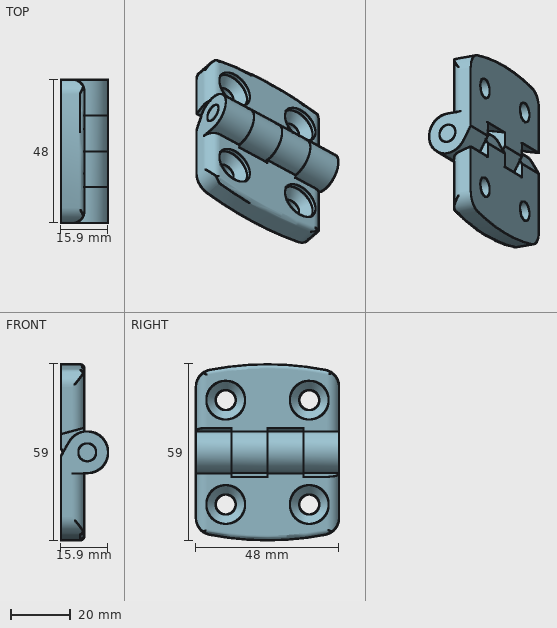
import cadquery as cq
import math

width = 48.0
half_height = 29.5
thickness = 7.9

side_round = 3.95
end_round = 1.55
bow_radius = 100.3
corner_radius = 5.95

barrel_radius = 7.0
overall_depth = 15.9
axis_x = overall_depth - barrel_radius
pin_diameter = 6.0
ramp_angle = 30.0
knuckle_count = 4
knuckle_length = width / knuckle_count

clearance_start = 6.1
clearance_angle = 15.0
clearance_end = clearance_start + thickness * math.tan(math.radians(clearance_angle))

hole_diameter = 6.6
head_diameter = 13.0
hole_y = 14.0
hole_z = 17.45
straight_depth = 3.2
cone_depth = (head_diameter - hole_diameter) / 2

half_width = width / 2


def leaf_section():
    """Full leaf block, with both long outer edges rounded."""
    return (
        cq.Workplane("XY")
        .rect(thickness, width)
        .extrude(half_height)
        .translate((thickness / 2, 0, 0))
        .edges("|Z and >X")
        .fillet(side_round)
    )


def bowed_end():
    """Large disc whose rounded rim forms the free end of the leaf."""
    return (
        cq.Workplane("YZ")
        .center(0, half_height - bow_radius)
        .circle(bow_radius)
        .extrude(thickness)
        .faces(">X")
        .edges()
        .fillet(end_round)
    )


def corner_outline():
    """Prism of the leaf outline: straight sides, tangent corners and a bowed end."""
    bow_center_z = half_height - bow_radius
    corner_y = half_width - corner_radius
    tangent_angle = math.asin(corner_y / (bow_radius - corner_radius))
    corner_z = bow_center_z + (bow_radius - corner_radius) * math.cos(tangent_angle)
    end_y = bow_radius * math.sin(tangent_angle)
    end_z = bow_center_z + bow_radius * math.cos(tangent_angle)
    middle_angle = (math.pi / 2 + tangent_angle) / 2
    middle_y = corner_y + corner_radius * math.sin(middle_angle)
    middle_z = corner_z + corner_radius * math.cos(middle_angle)
    return (
        cq.Workplane("YZ")
        .moveTo(-half_width, 0)
        .lineTo(half_width, 0)
        .lineTo(half_width, corner_z)
        .threePointArc((middle_y, middle_z), (end_y, end_z))
        .threePointArc((0, half_height), (-end_y, end_z))
        .threePointArc((-middle_y, middle_z), (-half_width, corner_z))
        .close()
        .extrude(thickness)
    )


def plate():
    """Leaf plate, cut back along a sloping edge to clear the other leaf's knuckles."""
    clearance = (
        cq.Workplane("XZ")
        .polyline([(0, 0), (thickness, 0), (thickness, clearance_end), (0, clearance_start)])
        .close()
        .extrude(half_width, both=True)
    )
    return leaf_section().intersect(bowed_end()).intersect(corner_outline()).cut(clearance)


def knuckle(y_start):
    """Knuckle with a sloping back, a round barrel and a flat shoulder toward the leaf."""
    slope = math.radians(ramp_angle)
    tangent_x = axis_x - barrel_radius * math.cos(slope)
    tangent_z = -barrel_radius * math.sin(slope)
    ramp_z = tangent_z + tangent_x / math.tan(slope)
    root_x = thickness - side_round
    return (
        cq.Workplane("XZ", origin=(0, y_start, 0))
        .moveTo(0, ramp_z)
        .lineTo(tangent_x, tangent_z)
        .threePointArc((axis_x + barrel_radius, 0), (axis_x, barrel_radius))
        .lineTo(root_x, barrel_radius)
        .lineTo(root_x, clearance_end)
        .lineTo(0, clearance_end)
        .close()
        .extrude(-knuckle_length)
    )


def knuckle_filler(y_start):
    """Stretch of leaf section that joins a knuckle's shoulder to the plate."""
    filler = (
        cq.Workplane("XY")
        .box(thickness, knuckle_length, clearance_end - barrel_radius, centered=False)
        .translate((0, y_start, barrel_radius))
    )
    return leaf_section().intersect(filler)


def screw_hole():
    """Through hole, widening in a cone to the screw head recess."""
    return (
        cq.Workplane("XY")
        .polyline([
            (0, 0),
            (0, hole_diameter / 2),
            (straight_depth, hole_diameter / 2),
            (straight_depth + cone_depth, head_diameter / 2),
            (thickness, head_diameter / 2),
            (thickness, 0),
        ])
        .close()
        .revolve(360, (0, 0, 0), (1, 0, 0))
    )


def hinge_leaf():
    """Upper leaf: plate, two alternate knuckles, pin bore and screw holes."""
    leaf = plate()
    for y_start in (-knuckle_length, knuckle_length):
        leaf = leaf.union(knuckle(y_start)).union(knuckle_filler(y_start))
    for y in (-hole_y, hole_y):
        leaf = leaf.cut(screw_hole().translate((0, y, hole_z)))
    return leaf.cut(hinge_pin())


def hinge_pin():
    """Plain pin, flush with both ends of the barrel."""
    return (
        cq.Workplane("XZ")
        .center(axis_x, 0)
        .circle(pin_diameter / 2)
        .extrude(half_width, both=True)
    )


upper_leaf = hinge_leaf()
lower_leaf = hinge_leaf().rotate((0, 0, 0), (1, 0, 0), 180)
pin = hinge_pin()

result = cq.Compound.makeCompound([upper_leaf.val(), lower_leaf.val(), pin.val()])